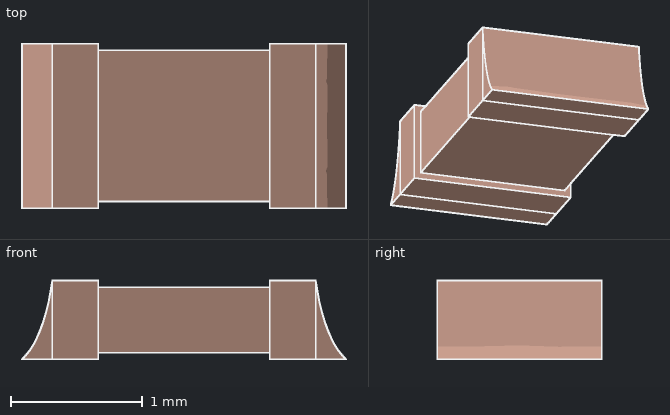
import cadquery as cq

CHIP_LENGTH = 2.0
CAP_LENGTH = 0.35
CAP_WIDTH = 1.25
CAP_HEIGHT = 0.6
CAP_OVERHANG = 0.05

CORE_LENGTH = CHIP_LENGTH - 2 * CAP_LENGTH
CORE_WIDTH = CAP_WIDTH - 2 * CAP_OVERHANG
CORE_HEIGHT = CAP_HEIGHT - 2 * CAP_OVERHANG

SOLDER_REACH = 0.23
CURVE_PULL_OUT = 0.06
CURVE_PULL_UP = 0.16

ENDS = (-1, 1)


def make_core():
    return cq.Workplane("XY").box(CORE_LENGTH, CORE_WIDTH, CORE_HEIGHT).translate((0, 0, CAP_HEIGHT / 2))


def make_cap(end):
    cap_center_x = end * (CHIP_LENGTH - CAP_LENGTH) / 2
    cap = cq.Workplane("XY").box(CAP_LENGTH, CAP_WIDTH, CAP_HEIGHT)
    return cap.translate((cap_center_x, 0, CAP_HEIGHT / 2))


def make_solder_fillet(end):
    cap_face_x = end * CHIP_LENGTH / 2
    toe = (cap_face_x + end * SOLDER_REACH, 0)
    curve_control = (cap_face_x + end * CURVE_PULL_OUT, CURVE_PULL_UP)
    top = (cap_face_x, CAP_HEIGHT)
    return (
        cq.Workplane("XZ", origin=(0, CAP_WIDTH / 2, 0))
        .moveTo(cap_face_x, 0)
        .lineTo(*toe)
        .bezier([toe, curve_control, top])
        .close()
        .extrude(CAP_WIDTH)
    )


core = make_core()
caps = [make_cap(end) for end in ENDS]
solder_fillets = [make_solder_fillet(end) for end in ENDS]

result = cq.Compound.makeCompound([body.val() for body in [core, *caps, *solder_fillets]])